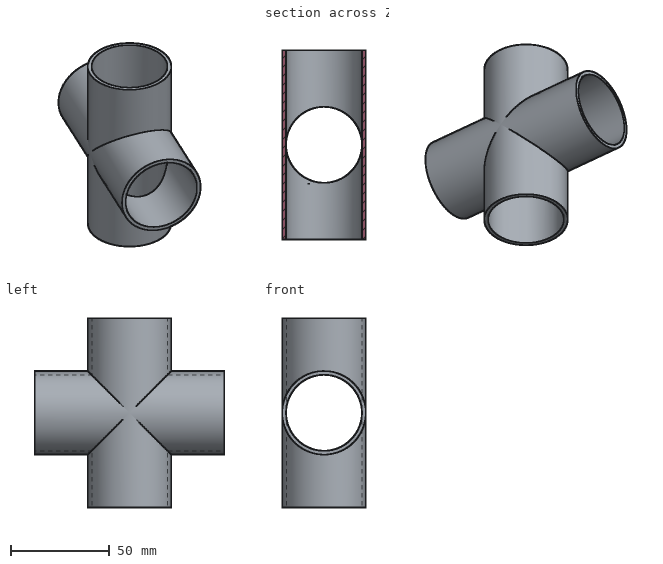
import cadquery as cq

outer_diameter = 42.4
wall_thickness = 2.0
overall_length = 96.0
bore_diameter = outer_diameter - 2 * wall_thickness


def crossed_cylinders(diameter):
    """Join a cylinder along Y and one along Z, both centred on the origin."""
    along_y = cq.Workplane("XZ").circle(diameter / 2).extrude(overall_length / 2, both=True)
    along_z = cq.Workplane("XY").circle(diameter / 2).extrude(overall_length / 2, both=True)
    return along_y.union(along_z)


result = crossed_cylinders(outer_diameter).cut(crossed_cylinders(bore_diameter))